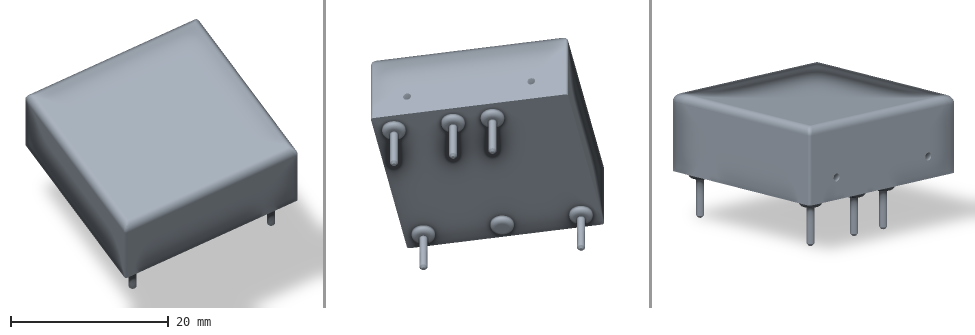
import cadquery as cq

case_width = 25.4
case_height = 10.15
corner_radius = 0.33
top_edge_radius = 1.02

terminal_offset = 10.15
input_pin_offset = 2.55
pad_radius = 1.5
pad_height = 0.9
pad_rim_radius = 0.58
pin_radius = 0.5
pin_length = 6.05
tip_length = 0.3
tip_inset = 0.25

dimple_radius = 0.5
dimple_depth = 0.3
dimple_offset = 8.0
dimple_height = 2.92

pin_places = [
    (-terminal_offset, terminal_offset),
    (-terminal_offset, input_pin_offset),
    (-terminal_offset, -input_pin_offset),
    (terminal_offset, terminal_offset),
    (terminal_offset, -terminal_offset),
]
pad_places = pin_places + [(terminal_offset, 0)]


def make_case():
    """Square block with rounded upright corners and a rounded top rim."""
    block = cq.Workplane("XY").box(case_width, case_width, case_height, centered=(True, True, False))
    return block.edges("|Z").fillet(corner_radius).faces(">Z").edges().fillet(top_edge_radius)


def make_pads():
    """Round standoffs hanging from the case floor, rounded at the lower rim."""
    pads = cq.Workplane("XY").pushPoints(pad_places).circle(pad_radius).extrude(-pad_height)
    return pads.faces("<Z").edges().fillet(pad_rim_radius)


def make_pins():
    """Round pins ending in a chamfered tip."""
    pins = cq.Workplane("XY").pushPoints(pin_places).circle(pin_radius).extrude(-pin_length)
    return pins.faces("<Z").edges().chamfer(tip_length, tip_inset)


def make_dimples():
    """Shallow ball-shaped recesses in the -X wall."""
    ball_radius = (dimple_radius**2 + dimple_depth**2) / (2 * dimple_depth)
    centers = [(side * dimple_offset, dimple_height) for side in (-1, 1)]
    ball_plane = cq.Workplane("YZ", origin=(-case_width / 2 + dimple_depth - ball_radius, 0, 0))
    return ball_plane.pushPoints(centers).sphere(ball_radius)


result = make_case().cut(make_dimples()).union(make_pads()).union(make_pins())